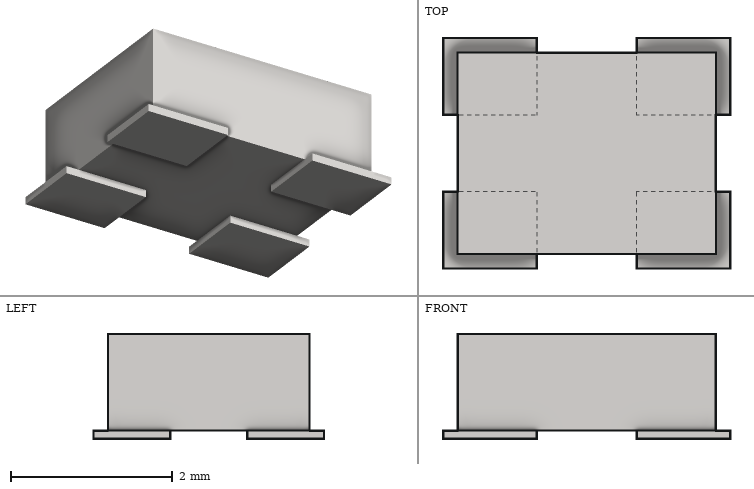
import cadquery as cq

overall_length = 3.56
overall_width = 2.86
overall_height = 1.3

pad_length = 1.16
pad_width = 0.955
pad_thickness = 0.1

housing_length = 3.2
housing_width = 2.5
housing_height = overall_height - pad_thickness


def make_housing():
    """Plain block whose underside rests on the pad tops."""
    return (
        cq.Workplane("XY")
        .workplane(offset=pad_thickness)
        .rect(housing_length, housing_width)
        .extrude(housing_height)
    )


def make_pad(x_side, y_side):
    """Flat pad in the corner given by the signs of X and Y."""
    center_x = x_side * (overall_length - pad_length) / 2
    center_y = y_side * (overall_width - pad_width) / 2
    return (
        cq.Workplane("XY")
        .center(center_x, center_y)
        .rect(pad_length, pad_width)
        .extrude(pad_thickness)
    )


housing = make_housing()
pads = [make_pad(x_side, y_side) for x_side in (-1, 1) for y_side in (-1, 1)]

result = cq.Compound.makeCompound([housing.val(), *[pad.val() for pad in pads]])